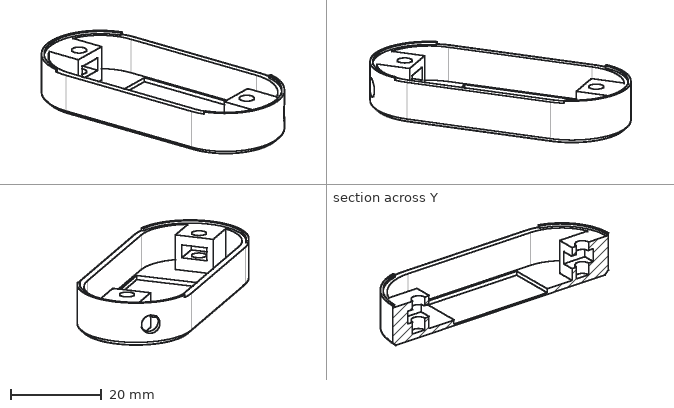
import cadquery as cq

length = 60.0
width = 26.0
total_height = 10.1
wall = 1.5
floor = 1.5
bottom_chamfer = 0.95

lip_height = 0.55
lip_thickness = 0.6
lip_inner_x = 20.1
rim_z = total_height - lip_height

recess_length = 25.8
recess_width = 21.95
recess_depth = 0.95

block_inner_x = 19.8
block_width = 8.9
hole_x = 22.75
hole_diameter = 3.3
slot_width = block_width - 2 * wall
slot_bottom_z = 4.4
slot_height = 3.0
slot_depth = 2 * (hole_x - block_inner_x)

end_centre_x = (length - width) / 2
opening_diameter = 4.2
opening_angle = 35.0
opening_z = total_height / 2
opening_start_radius = width / 2 - 2 * wall


def stadium(inset, bottom_z, height):
    """Upright stadium prism, inset evenly from the outer wall."""
    return (
        cq.Workplane("XY", origin=(0, 0, bottom_z))
        .slot2D(length - 2 * inset, width - 2 * inset)
        .extrude(height)
    )


def box_from(x, z, size_x, size_y, size_z):
    """Box centred on Y, starting at the given X and Z."""
    return cq.Workplane("XY").box(size_x, size_y, size_z, centered=(False, True, False)).translate((x, 0, z))


def make_tray():
    outer = stadium(0, 0, total_height).faces("<Z").edges().chamfer(bottom_chamfer)
    lip_space = stadium(lip_thickness, rim_z, lip_height)
    lip_gap = box_from(-lip_inner_x, rim_z, 2 * lip_inner_x, width, lip_height)
    return outer.cut(stadium(wall, floor, total_height)).cut(lip_space).cut(lip_gap)


def make_block():
    """Screw block at the +X end, trimmed to the curved wall."""
    block = box_from(block_inner_x, floor, length / 2 - block_inner_x, block_width, rim_z - floor)
    block = block.intersect(stadium(wall / 2, 0, total_height))
    hole = (
        cq.Workplane("XY", origin=(hole_x, 0, floor))
        .circle(hole_diameter / 2)
        .extrude(rim_z - floor)
    )
    nut_slot = box_from(block_inner_x, slot_bottom_z, slot_depth, slot_width, slot_height)
    return block.cut(hole).cut(nut_slot)


recess = box_from(-recess_length / 2, floor - recess_depth, recess_length, recess_width, recess_depth)
wall_opening = (
    cq.Workplane("YZ", origin=(opening_start_radius, 0, opening_z))
    .circle(opening_diameter / 2)
    .extrude(width / 2)
    .rotate((0, 0, 0), (0, 0, 1), opening_angle)
    .translate((end_centre_x, 0, 0))
)

result = make_tray().cut(recess).cut(wall_opening)
for angle in (0, 180):
    result = result.union(make_block().rotate((0, 0, 0), (0, 0, 1), angle))